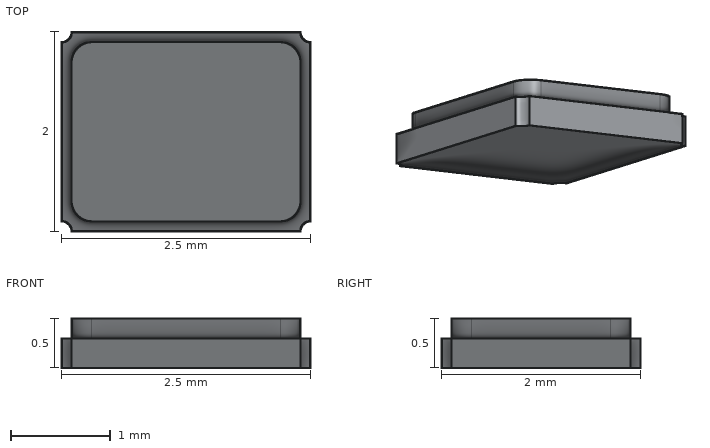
import cadquery as cq

base_length = 2.5
base_width = 2.0
base_height = 0.3
corner_notch_radius = 0.1

lid_setback = 0.1
lid_length = base_length - 2 * lid_setback
lid_width = base_width - 2 * lid_setback
lid_height = 0.2
lid_corner_radius = 0.2


def make_base():
    """Rectangular plate with a quarter-round notch down each vertical edge."""
    plate = cq.Workplane("XY").rect(base_length, base_width).extrude(base_height)
    notches = (
        cq.Workplane("XY")
        .rect(base_length, base_width, forConstruction=True)
        .vertices()
        .circle(corner_notch_radius)
        .extrude(base_height)
    )
    return plate.cut(notches)


def make_lid():
    """Flat lid with rounded vertical edges, resting on top of the base."""
    return (
        cq.Workplane("XY")
        .workplane(offset=base_height)
        .rect(lid_length, lid_width)
        .extrude(lid_height)
        .edges("|Z")
        .fillet(lid_corner_radius)
    )


result = make_base().union(make_lid())